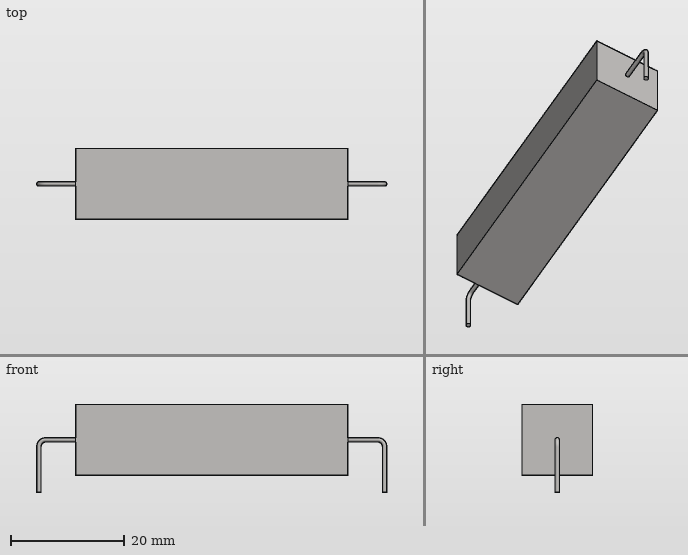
import cadquery as cq

body_length = 48.0
body_width = 12.5
body_height = 12.5

lead_diameter = 0.8
lead_pitch = 60.96
lead_drop = 3.0
bend_radius = 1.5 * lead_diameter


def make_body():
    return cq.Workplane("XY").box(
        body_length, body_width, body_height, centered=(True, True, False)
    )


def make_left_lead():
    """Wire running from the middle of the -X end face outward, then down."""
    start_x = -body_length / 2
    tip_x = -lead_pitch / 2
    axis_z = body_height / 2
    centreline = (
        cq.Workplane("XZ")
        .moveTo(start_x, axis_z)
        .lineTo(tip_x + bend_radius, axis_z)
        .tangentArcPoint((tip_x, axis_z - bend_radius), relative=False)
        .lineTo(tip_x, -lead_drop)
    )
    return (
        cq.Workplane("YZ", origin=(start_x, 0, axis_z))
        .circle(lead_diameter / 2)
        .sweep(centreline)
    )


left_lead = make_left_lead()
right_lead = left_lead.mirror("YZ")
result = make_body().union(left_lead).union(right_lead)